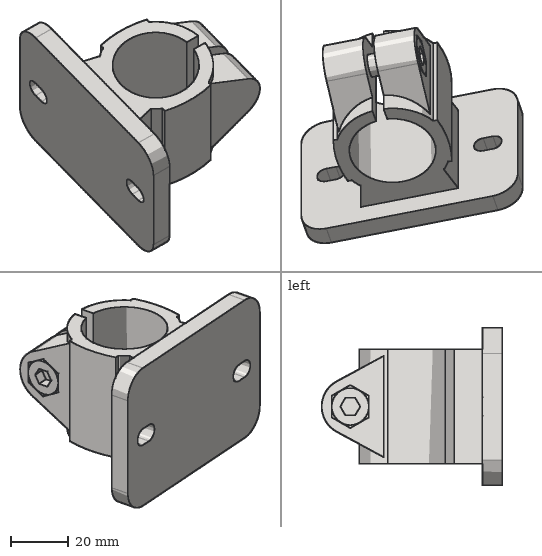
import cadquery as cq
import math

plate_width = 78.0
plate_height = 55.0
plate_thickness = 7.0
plate_corner_radius = 9.0
plate_slot_length = 10.0
plate_slot_width = 6.5
plate_slot_spacing = 56.5

bore_diameter = 30.1
ring_radius = 20.0
ring_height = 40.0
ring_center_y = 30.0
clamp_gap = 4.0

pad_length = 20.0
pad_curve_radius = 40.0

web_half_width_at_ring = 15.0
web_half_width_at_plate = 17.6

ear_span = 33.0
ear_tip_radius = 10.0
ear_flank_angle = 28.3
bolt_y = 53.0

hexagon_sides = 6
bolt_diameter = 8.0
bolt_head_diameter = 12.9
bolt_head_height = 8.0
head_pocket_corner_diameter = 15.0
socket_across_flats = 6.0
socket_depth = 4.0


def make_plate():
    plate = (
        cq.Workplane("XY")
        .box(plate_width, plate_thickness, plate_height, centered=(True, False, True))
        .edges("|Y")
        .fillet(plate_corner_radius)
    )
    slots = (
        cq.Workplane("XZ")
        .pushPoints([(-plate_slot_spacing / 2, 0), (plate_slot_spacing / 2, 0)])
        .slot2D(plate_slot_length, plate_slot_width)
        .extrude(-plate_thickness)
    )
    return plate.cut(slots)


def ring_workplane():
    return cq.Workplane("XY", origin=(0, ring_center_y, -ring_height / 2))


def make_ring_and_pads():
    pad_rise = pad_curve_radius - math.sqrt(pad_curve_radius**2 - (pad_length / 2) ** 2)
    pad_edge_x = ring_radius - pad_rise
    ring = ring_workplane().circle(ring_radius).extrude(ring_height)
    pads = (
        ring_workplane()
        .moveTo(-pad_edge_x, -pad_length / 2)
        .lineTo(pad_edge_x, -pad_length / 2)
        .threePointArc((ring_radius, 0), (pad_edge_x, pad_length / 2))
        .lineTo(-pad_edge_x, pad_length / 2)
        .threePointArc((-ring_radius, 0), (-pad_edge_x, -pad_length / 2))
        .close()
        .extrude(ring_height)
    )
    return ring.union(pads)


def make_web():
    web_top = -math.sqrt(ring_radius**2 - web_half_width_at_ring**2)
    web_bottom = plate_thickness - ring_center_y
    return (
        ring_workplane()
        .polyline([
            (-web_half_width_at_plate, web_bottom),
            (web_half_width_at_plate, web_bottom),
            (web_half_width_at_ring, web_top),
            (-web_half_width_at_ring, web_top),
        ])
        .close()
        .extrude(ring_height)
    )


def make_ears():
    angle = math.radians(ear_flank_angle)
    tangent_y = bolt_y + ear_tip_radius * math.sin(angle)
    tangent_z = ear_tip_radius * math.cos(angle)
    root_y = ring_center_y + math.sqrt(ring_radius**2 - (ear_span / 2)**2)
    root_z = tangent_z + (tangent_y - root_y) * math.tan(angle)
    return (
        cq.Workplane("YZ", origin=(-ear_span / 2, 0, 0))
        .moveTo(ring_center_y, -root_z)
        .lineTo(root_y, -root_z)
        .lineTo(tangent_y, -tangent_z)
        .threePointArc((bolt_y + ear_tip_radius, 0), (tangent_y, tangent_z))
        .lineTo(root_y, root_z)
        .lineTo(ring_center_y, root_z)
        .close()
        .extrude(ear_span)
    )


def cut_bore_and_gap(body):
    bore = ring_workplane().circle(bore_diameter / 2).extrude(ring_height)
    gap_length = bolt_y + ear_tip_radius - ring_center_y
    gap = (
        ring_workplane()
        .center(0, gap_length / 2)
        .rect(clamp_gap, gap_length)
        .extrude(ring_height)
    )
    return body.cut(bore).cut(gap)


def add_bolt(body):
    head_face = cq.Workplane("YZ", origin=(-ear_span / 2, bolt_y, 0))
    pocket = (
        head_face.polygon(hexagon_sides, head_pocket_corner_diameter)
        .extrude(bolt_head_height)
        .rotate((0, bolt_y, 0), (1, bolt_y, 0), 180 / hexagon_sides)
    )
    head = head_face.circle(bolt_head_diameter / 2).extrude(bolt_head_height)
    shank = head_face.circle(bolt_diameter / 2).extrude(ear_span)
    socket_corner_diameter = socket_across_flats / math.cos(math.pi / hexagon_sides)
    socket = head_face.polygon(hexagon_sides, socket_corner_diameter).extrude(socket_depth)
    return body.cut(pocket).union(head).union(shank).cut(socket)


clamp = make_ring_and_pads().union(make_web()).union(make_ears())
clamp = add_bolt(cut_bore_and_gap(clamp))
result = make_plate().union(clamp)